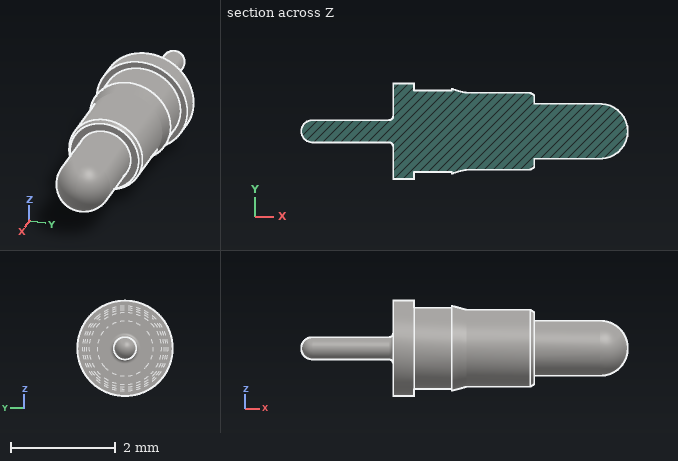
import cadquery as cq
import math


tail_length = 1.76
tail_radius = 0.215
root_fillet = 0.08

flange_thickness = 0.40
flange_radius = 0.915

rear_length = 0.72
rear_radius = 0.78
barb_length = 0.28
barb_radius = 0.815
front_length = 1.30
front_radius = 0.74
chamfer_length = 0.08
chamfer_depth = 0.05

plunger_length = 1.79
plunger_radius = 0.53

barrel_length = rear_length + barb_length + front_length
total_length = tail_length + flange_thickness + barrel_length + plunger_length
tail_end = -total_length / 2
flange_start = tail_end + tail_length
rear_start = flange_start + flange_thickness
barb_start = rear_start + rear_length
front_start = barb_start + barb_length
front_end = front_start + front_length
plunger_end = front_end + plunger_length

diagonal = math.sqrt(0.5)


def add_tail(profile):
    """Start at the tail tip on the axis and run to the flange face."""
    dome_centre = tail_end + tail_radius
    fillet_start = flange_start - root_fillet
    fillet_centre_radius = tail_radius + root_fillet
    dome_middle = (dome_centre - tail_radius * diagonal, tail_radius * diagonal)
    fillet_middle = (
        fillet_start + root_fillet * diagonal,
        fillet_centre_radius - root_fillet * diagonal,
    )
    return (
        profile.moveTo(tail_end, 0)
        .threePointArc(dome_middle, (dome_centre, tail_radius))
        .lineTo(fillet_start, tail_radius)
        .threePointArc(fillet_middle, (flange_start, fillet_centre_radius))
    )


def add_flange(profile):
    """Square-edged disc, the widest part of the pin."""
    return profile.lineTo(flange_start, flange_radius).lineTo(rear_start, flange_radius)


def add_barrel(profile):
    """Rear section, tapered barb and chamfered front section."""
    return (
        profile.lineTo(rear_start, rear_radius)
        .lineTo(barb_start, rear_radius)
        .lineTo(barb_start, barb_radius)
        .lineTo(front_start, front_radius)
        .lineTo(front_end - chamfer_length, front_radius)
        .lineTo(front_end, front_radius - chamfer_depth)
    )


def add_plunger(profile):
    """Round-tipped plunger, finishing on the axis."""
    dome_centre = plunger_end - plunger_radius
    dome_middle = (dome_centre + plunger_radius * diagonal, plunger_radius * diagonal)
    return (
        profile.lineTo(front_end, plunger_radius)
        .lineTo(dome_centre, plunger_radius)
        .threePointArc(dome_middle, (plunger_end, 0))
    )


half_profile = add_tail(cq.Workplane("XZ"))
half_profile = add_flange(half_profile)
half_profile = add_barrel(half_profile)
half_profile = add_plunger(half_profile)

result = half_profile.close().revolve(360, (0, 0, 0), (1, 0, 0))